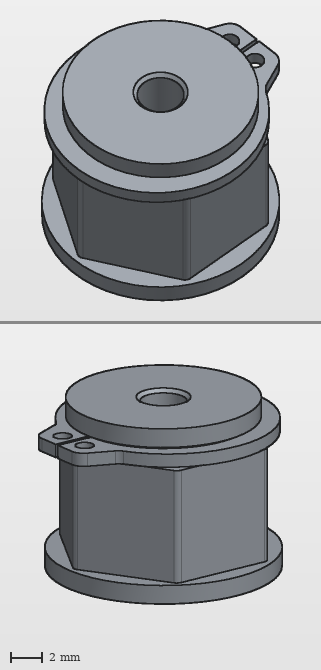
import cadquery as cq
import math

flange_top = 1.27
hex_top = 8.89
groove_top = 10.17
hub_top = 11.44

flange_dia = 15.25
head_dia = 12.57
hex_across_flats = head_dia
hex_corner_radius = 0.47
groove_dia = 11.85
bore_dia = 3.0
bore_mouth_dia = 3.5
bore_chamfer = (bore_mouth_dia - bore_dia) / 2

ring_thickness = 0.9
ring_bottom = (hex_top + groove_top - ring_thickness) / 2
ring_radius = 7.22
ring_center_y = -0.34
overall_length = 16.22
lug_tip_y = overall_length - flange_dia / 2
lug_root_half_width = 3.33
lug_tip_half_width = 2.22
lug_tip_radius = 0.94
lug_root_radius = 0.81
lug_hole_dia = 1.2
lug_hole_x = 1.17
lug_hole_y = 7.23
ring_gap = 0.25


def cylinder(diameter, bottom, top):
    """Upright cylinder on the Z axis."""
    return cq.Workplane("XY").workplane(offset=bottom).circle(diameter / 2).extrude(top - bottom)


def make_hex():
    """Hexagonal section with flats facing +X and -X and rounded corners."""
    across_corners = hex_across_flats / math.cos(math.pi / 6)
    return (
        cq.Workplane("XY")
        .workplane(offset=flange_top)
        .transformed(rotate=(0, 0, 30))
        .polygon(6, across_corners)
        .extrude(hex_top - flange_top)
        .edges("|Z")
        .fillet(hex_corner_radius)
    )


def make_hub():
    """Flange, hexagon, grooved neck and round head with a chamfered through bore."""
    hub = cylinder(flange_dia, 0, flange_top)
    hub = hub.union(make_hex())
    hub = hub.union(cylinder(groove_dia, hex_top, groove_top))
    hub = hub.union(cylinder(head_dia, groove_top, hub_top))
    bore = cylinder(bore_dia, 0, hub_top)
    mouth = (
        cq.Workplane("XY")
        .workplane(offset=hub_top)
        .circle(bore_mouth_dia / 2)
        .workplane(offset=-bore_chamfer)
        .circle(bore_dia / 2)
        .loft()
    )
    return hub.cut(bore).cut(mouth)


def make_retaining_ring():
    """Split ring seated in the groove, with two drilled lugs on the +Y side."""
    root_y = ring_center_y + math.sqrt(ring_radius**2 - lug_root_half_width**2)
    plane = cq.Workplane("XY").workplane(offset=ring_bottom)
    ring = (
        plane.moveTo(-lug_root_half_width, root_y)
        .threePointArc((0, ring_center_y - ring_radius), (lug_root_half_width, root_y))
        .lineTo(lug_tip_half_width, lug_tip_y)
        .lineTo(-lug_tip_half_width, lug_tip_y)
        .close()
        .extrude(ring_thickness)
    )
    ring = ring.edges("|Z exc >Y").fillet(lug_root_radius)
    ring = ring.edges("|Z and >Y").fillet(lug_tip_radius)
    ring = ring.cut(cylinder(groove_dia, ring_bottom, ring_bottom + ring_thickness))
    hole_places = [(-lug_hole_x, lug_hole_y), (lug_hole_x, lug_hole_y)]
    holes = plane.pushPoints(hole_places).circle(lug_hole_dia / 2).extrude(ring_thickness)
    split = plane.center(0, lug_tip_y / 2).rect(ring_gap, lug_tip_y).extrude(ring_thickness)
    return ring.cut(holes).cut(split)


hub = make_hub()
retaining_ring = make_retaining_ring()
result = cq.Compound.makeCompound([hub.val(), retaining_ring.val()])